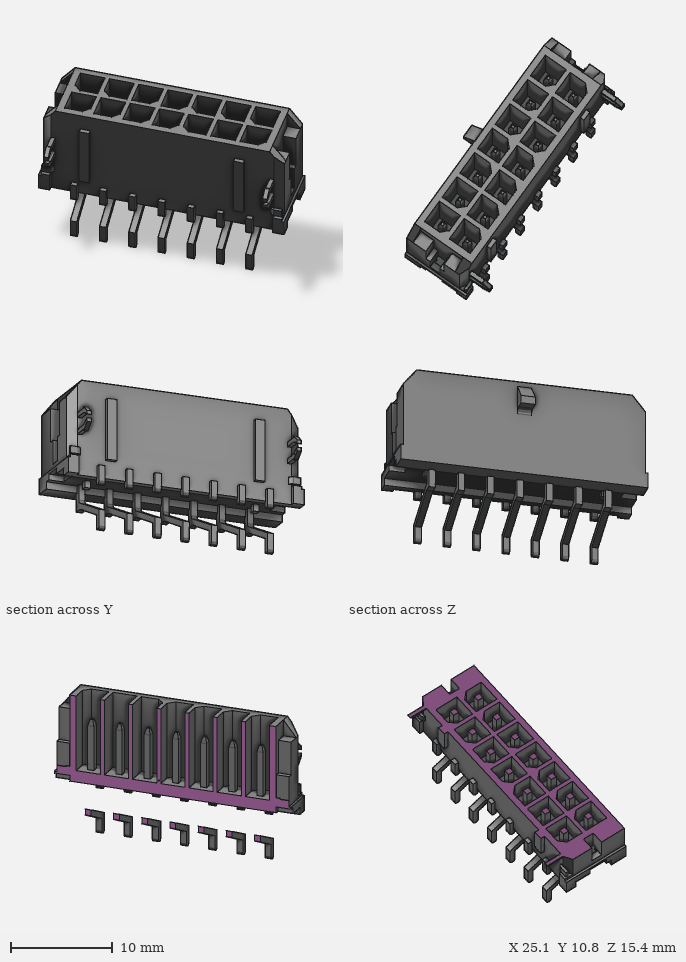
import cadquery as cq


columns = 7
pitch = 3.0
wire = 0.65
tail_thickness = 0.63
front_row_y = 1.95
back_row_y = front_row_y + pitch
row_start_x = -pitch * (columns - 1) / 2

total_length = 25.15
half_length = total_length / 2
flange_lip = 0.25
end_x = half_length - flange_lip
core_x = 10.97
front_wall_x = 11.42
depth = 6.9
height = 9.9
shoulder_z = 8.22
facet_y = 0.55
front_rib_y = 1.05
back_rib_width = 0.78
back_rib_y = depth - back_rib_width
front_step = 0.45
flange_z = 1.6
foot_z = 1.89

slot_y = 3.47
wide_slot_width = 2.21
wide_slot_z = 4.78
narrow_slot_width = 1.15
narrow_slot_z = 2.26
clip_pad_height = 0.1
clip_plate_x = 11.37
clip_tab_x = 11.7
clip_tab_width = 0.85

channel_front_y = 0.7
channel_back_y = 5.08
channel_z = 0.75
notch_width = 1.99
notch_z = 1.35
peg_width = 0.63
peg_y = slot_y

pocket_size = 2.52
pocket_corner = 0.68
pocket_floor_z = 2.0
pin_top_z = 7.3
pin_taper = 0.63
pin_tip_width = 0.28
back_keys = "LLRRLLL"
front_keys = "RRRRL-R"

rib_inner_x = 7.4
rib_width = 1.0

latch_width = 1.43
latch_reach = 1.4
latch_top_z = 9.38
latch_nose_top_z = 7.75
latch_nose_z = 6.95
latch_foot_radius = 0.53

tail_tip_z = -5.48
tail_tip_radius = 0.3
tail_upright_back_y = 5.33
tail_knee_y = 4.4
tail_knee_z = -1.89
tail_inner_bend_z = -1.13
tail_inner_bend_radius = 0.45
tail_lower_bend_z = -3.85
tail_upper_bend_z = -3.45
front_lead_top_z = 1.18
front_lead_tip_z = -0.78

prong_z = 5.33
prong_gap = 1.25
prong_thickness = 0.48
prong_bend_y = -1.58
prong_tip_y = -2.46
prong_tip_gap = 0.38
prong_barb = 0.15
prong_tip_height = 0.38

ear_inner_x = 11.1
ear_outer_x = 12.27
ear_bottom_z = 2.1
ear_height = 0.73
ear_thickness = 0.3
ear_bend_radius = 0.4
ear_root = 0.25


def box(x0, x1, y0, y1, z0, z1):
    return cq.Workplane("XY").box(x1 - x0, y1 - y0, z1 - z0, centered=False).translate((x0, y0, z0))


def side_profile(points, x_center, width):
    """Closed (y, z) outline, extruded along X about x_center."""
    bar = cq.Workplane("YZ").polyline(points).close().extrude(width / 2, both=True)
    return bar.translate((x_center, 0, 0))


def slot_band(outer_x, width, z0, z1):
    """Block on the slot centre line, from the inner end wall out to outer_x."""
    return box(core_x, outer_x, slot_y - width / 2, slot_y + width / 2, z0, z1)


def square_post(x, y, size, z0, z1):
    half = size / 2
    return box(x - half, x + half, y - half, y + half, z0, z1)


def column_x(column):
    return row_start_x + column * pitch


def both_ends(shape):
    """The shape on the +X end together with its mirror image on the -X end."""
    return shape.union(shape.mirror("YZ"))


def housing_shell():
    outline = [
        (-end_x, 0), (end_x, 0), (end_x, shoulder_z), (core_x, height),
        (-core_x, height), (-end_x, shoulder_z),
    ]
    shell = cq.Workplane("XZ").polyline(outline).close().extrude(-depth)
    facet = (
        cq.Workplane("XY").workplane(offset=foot_z)
        .polyline([(front_wall_x, 0), (end_x, 0), (end_x, facet_y)]).close().extrude(height)
    )
    between_ribs = box(core_x, end_x, front_rib_y, back_rib_y, shoulder_z, height)
    foot = box(front_wall_x, end_x, -front_step, facet_y, 0, foot_z)
    flange = box(end_x, half_length, -front_step, depth, 0, flange_z)
    shell = shell.cut(both_ends(facet)).cut(both_ends(between_ribs))
    return shell.union(both_ends(foot.union(flange)))


def end_slots():
    wide = slot_band(end_x, wide_slot_width, wide_slot_z, height)
    narrow = slot_band(end_x, narrow_slot_width, narrow_slot_z, height)
    return both_ends(wide.union(narrow))


def clip_pads():
    top_z = narrow_slot_z + clip_pad_height
    plate = slot_band(clip_plate_x, narrow_slot_width, narrow_slot_z, top_z)
    tab = slot_band(clip_tab_x, clip_tab_width, narrow_slot_z, top_z)
    return both_ends(plate.union(tab))


def underside_recesses():
    channel = box(-half_length, half_length, channel_front_y, channel_back_y, 0, channel_z)
    notch = slot_band(half_length, notch_width, 0, notch_z)
    return channel.union(both_ends(notch))


def standoff_pegs():
    return both_ends(square_post(column_x(columns - 1), peg_y, peg_width, 0, channel_z))


def pocket(x, y, key):
    cavity = square_post(x, y, pocket_size, pocket_floor_z, height)
    if key == "L":
        return cavity.edges("|Z and <X and <Y").chamfer(pocket_corner)
    if key == "R":
        return cavity.edges("|Z and >X and <Y").chamfer(pocket_corner)
    return cavity


def pin(x, y):
    straight_top_z = pin_top_z - pin_taper
    shaft = square_post(x, y, wire, pocket_floor_z, straight_top_z)
    tip = (
        cq.Workplane("XY", origin=(x, y, straight_top_z)).rect(wire, wire)
        .workplane(offset=pin_taper).rect(pin_tip_width, pin_tip_width).loft()
    )
    return shaft.union(tip)


def front_ribs():
    return both_ends(box(rib_inner_x, rib_inner_x + rib_width, -front_step, 0, foot_z, shoulder_z))


def latch():
    nose_y = depth + latch_reach
    foot_start_y = depth + latch_foot_radius
    return (
        cq.Workplane("YZ").moveTo(depth, latch_top_z)
        .lineTo(nose_y, latch_nose_top_z)
        .lineTo(nose_y, latch_nose_z)
        .lineTo(foot_start_y, latch_nose_z)
        .radiusArc((depth, latch_nose_z - latch_foot_radius), -latch_foot_radius)
        .close().extrude(latch_width / 2, both=True)
    )


def round_tip(lead):
    return lead.faces("<Z").edges("|X").fillet(tail_tip_radius)


def front_lead(x):
    back_y = tail_thickness - front_step
    lead = box(x - wire / 2, x + wire / 2, -front_step, back_y, front_lead_tip_z, front_lead_top_z)
    return round_tip(lead)


def back_lead(x):
    upright_front_y = back_row_y - wire / 2
    tip_back_y = tail_thickness - front_step
    outline = [
        (tail_upright_back_y, channel_z), (tail_upright_back_y, tail_knee_z), (tail_knee_y, tail_knee_z),
        (tip_back_y, tail_lower_bend_z), (tip_back_y, tail_tip_z),
        (-front_step, tail_tip_z), (-front_step, tail_upper_bend_z),
        (upright_front_y, tail_inner_bend_z), (upright_front_y, channel_z),
    ]
    inner_bend = cq.selectors.NearestToPointSelector((x, upright_front_y, tail_inner_bend_z))
    lead = side_profile(outline, x, wire).edges(inner_bend).fillet(tail_inner_bend_radius)
    return round_tip(lead)


def prong_pair():
    inner = prong_gap / 2
    outer = inner + prong_thickness
    tip_inner = prong_tip_gap / 2
    upper = [
        (0, inner), (prong_bend_y, inner),
        (prong_tip_y, tip_inner), (prong_tip_y, tip_inner + prong_tip_height),
        (prong_bend_y, outer + prong_barb), (prong_bend_y, outer), (0, outer),
    ]
    width = front_wall_x - core_x
    arm = side_profile(upper, (front_wall_x + core_x) / 2, width)
    arms = arm.union(arm.mirror("XY")).translate((0, 0, prong_z))
    return both_ends(arms)


def clip_ears():
    top_z = ear_bottom_z + ear_height
    strip = box(ear_inner_x, ear_outer_x, -ear_thickness, 0, ear_bottom_z, top_z)
    root = box(ear_inner_x, front_wall_x, -ear_thickness, ear_root, ear_bottom_z, top_z)
    ear = strip.union(root)
    return both_ends(ear.edges("|Z and <X and <Y").fillet(ear_bend_radius))


body = housing_shell().cut(end_slots()).cut(underside_recesses())
for row_y, keys in ((front_row_y, front_keys), (back_row_y, back_keys)):
    for column, key in enumerate(keys):
        body = body.cut(pocket(column_x(column), row_y, key)).union(pin(column_x(column), row_y))

for column in range(columns):
    body = body.union(front_lead(column_x(column))).union(back_lead(column_x(column)))

result = (
    body.union(clip_pads())
    .union(standoff_pegs())
    .union(front_ribs())
    .union(latch())
    .union(prong_pair())
    .union(clip_ears())
)